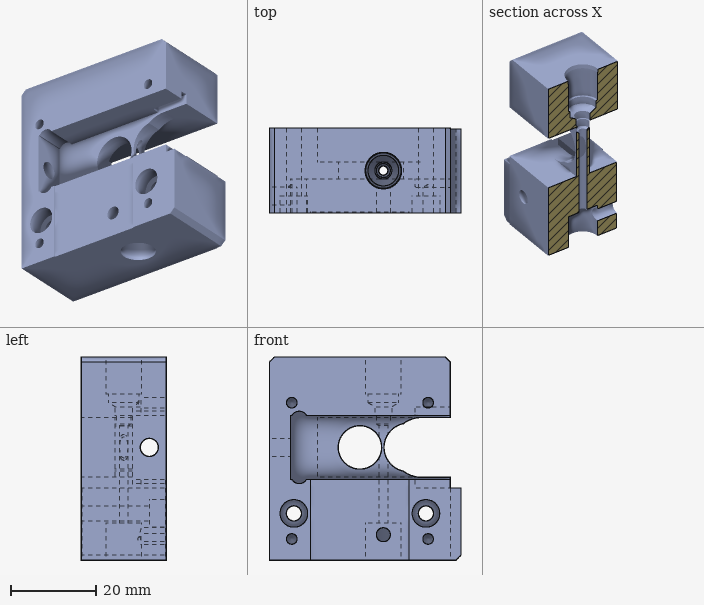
import cadquery as cq
import math

WIDTH = 45.0
DEPTH = 20.0
HEIGHT = 47.75
UPPER_WIDTH = 42.5
LEDGE_Z = 17.0
LEDGE_SETBACK = 0.2
EDGE_CHAMFER = 1.2

AXIS_Z = 26.5
POCKET_LEFT = 5.0
POCKET_HEIGHT = 15.0
POCKET_DEPTH = 8.0
RELIEF_RADIUS = 2.0
RELIEF_OVERRUN = 1.0

GROOVE_LEFT = 34.2
GROOVE_WIDTH = 2.0
GROOVE_REACH = 2.0
GROOVE_CORNER_RADIUS = 0.5

WEB_THICKNESS = 4.0
REAR_POCKET_LEFT = 11.25
OPENING_HEIGHT = 14.0

CENTRE_X = 21.25
BORE_DIAMETER = 10.15
NOSE_X = 32.6
NOSE_RADIUS = 5.67
OPENING_ROUND_X = 35.7

PANEL_WIDTH = 23.15
PANEL_RECESS = 0.25

MOUNT_SPACING = 31.0
MOUNT_Z = 11.0
MOUNT_DIAMETER = 3.5
MOUNT_HEAD_DIAMETER = 6.5
MOUNT_HEAD_DEPTH = 4.0

PIN_SPACING = 32.0
PIN_LOW_Z = 5.0
PIN_DIAMETER = 2.5
PIN_DEPTH = 6.0
TIP_ANGLE = 118.0

PORT_X = 26.75
PORT_Y = 10.0
PORT_MOUTH_RADIUS = 4.3
PORT_MOUTH_DEPTH = 1.0
PORT_RADIUS = 4.15
PORT_FLOOR_Z = 39.0
PORT_SEAT_RADIUS = 3.6
PORT_SEAT_Z = 37.0
PORT_NECK_RADIUS = 2.0
PORT_NECK_Z = 34.0
PORT_STEM_RADIUS = 1.65
PORT_STEM_Z = 32.0
PORT_TAIL_RADIUS = 1.05
LOWER_BORE_TOP_Z = HEIGHT - PORT_FLOOR_Z

CROSS_DIAMETER = 3.3
CROSS_Z = 6.0

SIDE_DIAMETER = 4.2
SIDE_Y = 4.0


def box(x0, x1, y0, y1, z0, z1):
    return cq.Workplane("XY").box(x1 - x0, y1 - y0, z1 - z0, centered=False).translate((x0, y0, z0))


def rod_along_y(x, z, radius, y0, y1):
    return cq.Workplane(cq.Solid.makeCylinder(radius, y1 - y0, cq.Vector(x, y0, z), cq.Vector(0, 1, 0)))


def cone_drop(wide_radius, narrow_radius):
    """Length of a drill-tip cone between two radii."""
    return (wide_radius - narrow_radius) / math.tan(math.radians(TIP_ANGLE / 2))


def block():
    upper = box(0, UPPER_WIDTH, 0, DEPTH, 0, HEIGHT)
    upper = upper.faces(">Z").edges("|Y").chamfer(EDGE_CHAMFER)
    ledge = box(UPPER_WIDTH, WIDTH, 0, DEPTH - LEDGE_SETBACK, 0, LEDGE_Z)
    ledge = ledge.edges("|Y and >X and <Z").chamfer(EDGE_CHAMFER)
    return upper.union(ledge)


def front_pocket():
    half = POCKET_HEIGHT / 2
    cut = box(POCKET_LEFT, WIDTH, 0, POCKET_DEPTH, AXIS_Z - half, AXIS_Z + half)
    relief_offset = half + RELIEF_OVERRUN - RELIEF_RADIUS
    for side in (-1, 1):
        relief_z = AXIS_Z + side * relief_offset
        cut = cut.union(rod_along_y(POCKET_LEFT + RELIEF_RADIUS, relief_z, RELIEF_RADIUS, 0, POCKET_DEPTH))
    return cut


def pocket_groove():
    half = POCKET_HEIGHT / 2 + GROOVE_REACH
    front = POCKET_DEPTH - GROOVE_WIDTH
    cut = box(GROOVE_LEFT, WIDTH, front, POCKET_DEPTH, AXIS_Z - half, AXIS_Z + half)
    return cut.edges("|Z and <X and <Y").fillet(GROOVE_CORNER_RADIUS)


def rear_pocket():
    half = OPENING_HEIGHT / 2
    return box(REAR_POCKET_LEFT, WIDTH, POCKET_DEPTH + WEB_THICKNESS, DEPTH, AXIS_Z - half, AXIS_Z + half)


def web_openings():
    half = OPENING_HEIGHT / 2
    bore = rod_along_y(CENTRE_X, AXIS_Z, BORE_DIAMETER / 2, 0, DEPTH)
    nose = rod_along_y(NOSE_X, AXIS_Z, NOSE_RADIUS, POCKET_DEPTH, DEPTH)
    round_end = rod_along_y(OPENING_ROUND_X, AXIS_Z, half, POCKET_DEPTH, DEPTH)
    mouth = box(OPENING_ROUND_X, WIDTH, POCKET_DEPTH, DEPTH, AXIS_Z - half, AXIS_Z + half)
    return bore.union(nose).union(round_end).union(mouth)


def panel_recess():
    half = PANEL_WIDTH / 2
    return box(CENTRE_X - half, CENTRE_X + half, 0, PANEL_RECESS, 0, AXIS_Z)


def mounting_hole(x):
    head = rod_along_y(x, MOUNT_Z, MOUNT_HEAD_DIAMETER / 2, 0, MOUNT_HEAD_DEPTH)
    return head.union(rod_along_y(x, MOUNT_Z, MOUNT_DIAMETER / 2, 0, DEPTH))


def pin_hole(x, z):
    radius = PIN_DIAMETER / 2
    tip = cone_drop(radius, 0)
    outline = [(0, 0), (radius, 0), (radius, PIN_DEPTH), (0, PIN_DEPTH + tip)]
    profile = cq.Workplane("XY").polyline(outline).close()
    return profile.revolve(360, (0, 0, 0), (0, 1, 0)).translate((x, 0, z))


def vertical_port():
    seat_bottom = PORT_SEAT_Z - cone_drop(PORT_SEAT_RADIUS, PORT_NECK_RADIUS)
    stem_bottom = PORT_STEM_Z - cone_drop(PORT_STEM_RADIUS, PORT_TAIL_RADIUS)
    profile = cq.Workplane("XZ").polyline([
        (0, HEIGHT),
        (PORT_MOUTH_RADIUS, HEIGHT),
        (PORT_RADIUS, HEIGHT - PORT_MOUTH_DEPTH),
        (PORT_RADIUS, PORT_FLOOR_Z),
        (PORT_SEAT_RADIUS, PORT_FLOOR_Z),
        (PORT_SEAT_RADIUS, PORT_SEAT_Z),
        (PORT_NECK_RADIUS, seat_bottom),
        (PORT_NECK_RADIUS, PORT_NECK_Z),
        (PORT_STEM_RADIUS, PORT_NECK_Z),
        (PORT_STEM_RADIUS, PORT_STEM_Z),
        (PORT_TAIL_RADIUS, stem_bottom),
        (PORT_TAIL_RADIUS, LOWER_BORE_TOP_Z),
        (PORT_RADIUS, LOWER_BORE_TOP_Z),
        (PORT_RADIUS, 0),
        (0, 0),
    ]).close()
    return profile.revolve(360, (0, 0, 0), (0, 1, 0)).translate((PORT_X, PORT_Y, 0))


def side_hole():
    start = cq.Vector(0, SIDE_Y, AXIS_Z)
    return cq.Workplane(cq.Solid.makeCylinder(SIDE_DIAMETER / 2, POCKET_LEFT, start, cq.Vector(1, 0, 0)))


body = block()
for cut in (front_pocket(), pocket_groove(), rear_pocket(), web_openings(), panel_recess()):
    body = body.cut(cut)
for side in (-1, 1):
    body = body.cut(mounting_hole(CENTRE_X + side * MOUNT_SPACING / 2))
    for row in (0, 1):
        body = body.cut(pin_hole(CENTRE_X + side * PIN_SPACING / 2, PIN_LOW_Z + row * PIN_SPACING))
body = body.cut(vertical_port())
body = body.cut(rod_along_y(PORT_X, CROSS_Z, CROSS_DIAMETER / 2, 0, PORT_Y))
result = body.cut(side_hole())